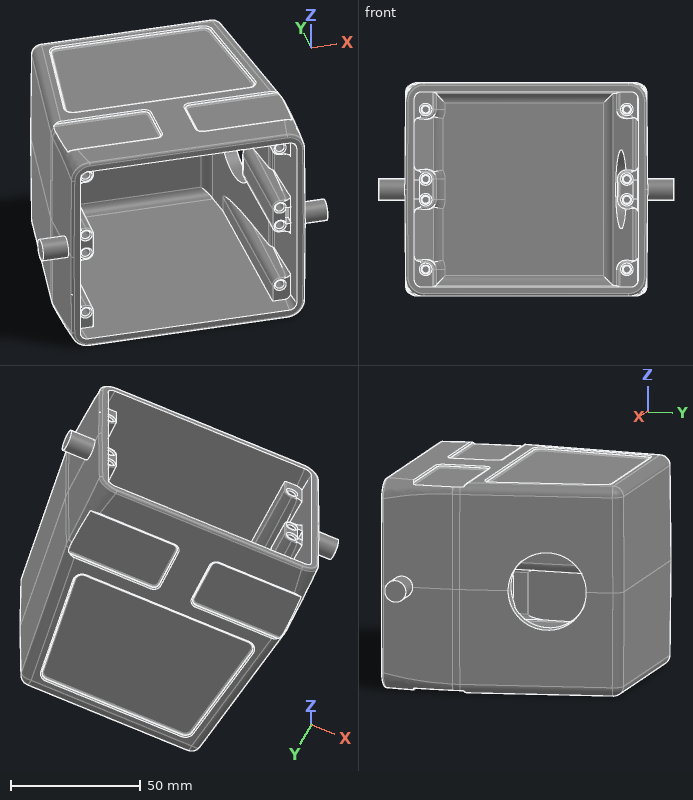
import cadquery as cq
import math

depth = 94.0
half_height = 41.3
mouth_half_width = 47.0
pin_span = 114.0
side_angle = math.radians(8)
side_slope = math.tan(side_angle)
draft_angle = 0.5
draft_slope = math.tan(math.radians(draft_angle))
bend_y = 30.1
bend_radius = 20.5
edge_radius = 4.0
flare_end_y = 28.5
mouth_corner_radius = 7.3
rim_radius = 1.0

selection_margin = 0.1
mouth_length = 11.4
cavity_half_width = 43.3
cavity_half_height = 37.7
floor_half_height = 37.0
floor_y = 90.4
floor_radius = 3.8
cavity_corner_radius = 3.0
left_bend_y = 34.4
step_front_x = 42.4
step_front_y = 30.3
step_back_x = 41.2
step_back_y = 32.6
step_radius = 3.0

rib_front_y = 8.1
rib_draft = 0.8
rib_edge_diameter = 6.0
rib_radius = rib_edge_diameter / 2
rib_root_radius = 2.3
rib_root_overlap = 0.2
rib_root_length = 44.5
rib_rim_radius = 0.5
foot_radius = 3.4
rib_buried_x = 49.0
rib_buried_z = 44.5
screw_x = 38.9
corner_screw_z = 30.9
middle_screw_z = 4.0
screw_mouth_diameter = 4.8
screw_top_diameter = 3.5
screw_bottom_diameter = 2.7
screw_depth = 11.4
notch_x = 41.2
notch_half_height = 3.6
notch_depth = 4.6

pin_diameter = 8.4
pin_y = 8.5
pin_end_margin = 1.1
cable_hole_diameter = 30.4
cable_hole_y = 64.5
cable_hole_inset = 3.4
cable_hole_length = 17.1
recess_depth = 1.3
recess_chamfer = 0.6
recess_floor_radius = 0.5
recess_mouth_angle = 45
recess_draft = 10
panel_front_y = 38.5
panel_back_y = 87.7
panel_front_half_width = 39.0
panel_corner_radius = 3.6
pad_front_y = 11.7
pad_back_y = 33.5
pad_inner_x = 6.6
pad_outer_x = 51.3
pad_corner_radius = 3.0


def y_plane(y):
    """Plane facing +Y at the given depth; its local axes are -X and Z."""
    return cq.Workplane(cq.Plane(origin=(0, y, 0), xDir=(-1, 0, 0), normal=(0, 1, 0)))


def both_halves(upper):
    return upper.union(upper.mirror("XY"))


def rear_shell():
    """Upper half of the tapering rear part, drafted from the parting plane."""
    back_half_width = mouth_half_width - (depth - bend_y) * side_slope
    outline = [
        (-mouth_half_width, 0),
        (mouth_half_width, 0),
        (mouth_half_width, bend_y),
        (back_half_width, depth),
        (-back_half_width, depth),
        (-mouth_half_width, bend_y),
    ]
    half = cq.Workplane("XY").polyline(outline).close().extrude(half_height, taper=draft_angle)
    for side in (-1, 1):
        bend = cq.selectors.NearestToPointSelector((side * mouth_half_width, bend_y, half_height / 2))
        half = half.edges(bend).fillet(bend_radius)
    keep = cq.Workplane("XY").box(pin_span, depth, half_height, centered=(True, False, False))
    half = half.intersect(keep.translate((0, flare_end_y, 0)))
    for side in (-1, 1):
        corner = cq.selectors.NearestToPointSelector((side * back_half_width, depth, half_height / 2))
        half = half.edges(corner).fillet(edge_radius)
    return half.faces(">Z").edges("not <Y").fillet(edge_radius)


def mouth_section(y):
    """Upper half section whose corner radius grows quadratically towards the mouth."""
    progress = 1 - y / flare_end_y
    radius = edge_radius + (mouth_corner_radius - edge_radius) * progress**2
    top_half_width = mouth_half_width - half_height * draft_slope
    corners = [
        (-mouth_half_width, 0),
        (mouth_half_width, 0),
        (top_half_width, half_height),
        (-top_half_width, half_height),
        (-mouth_half_width, 0),
    ]
    section = cq.Sketch().polygon(corners).vertices(">Y").fillet(radius)
    return section.moved(cq.Location(cq.Vector(0, 0, y)))


def mouth_shell():
    sections = [mouth_section(y) for y in (0, flare_end_y / 2, flare_end_y)]
    half = y_plane(0).placeSketch(*sections).loft()
    return half.faces("<Y").edges("not <Z").fillet(rim_radius)


def right_wall_x(y):
    """Inner face of the thick +X wall behind its step."""
    return step_back_x - (y - step_back_y) * side_slope


def rib_root(low_z, high_z):
    """Flare joining a rib to the +X wall; the slanted wall swallows its far end."""
    inner_x = cavity_half_width - rib_root_radius - rib_root_overlap
    flange_low_z = low_z - 2 * rib_root_radius
    flange_high_z = high_z + 2 * rib_root_radius
    outline = [
        (-inner_x, low_z),
        (-inner_x, high_z),
        (-cavity_half_width, high_z),
        (-cavity_half_width, flange_high_z),
        (-rib_buried_x, flange_high_z),
        (-rib_buried_x, flange_low_z),
        (-cavity_half_width, flange_low_z),
        (-cavity_half_width, low_z),
        (-inner_x, low_z),
    ]
    corners = cq.selectors.BoxSelector(
        (-cavity_half_width - selection_margin, low_z - selection_margin, -selection_margin),
        (-cavity_half_width + selection_margin, high_z + selection_margin, selection_margin),
    )
    profile = cq.Sketch().polygon(outline).vertices(corners).fillet(rib_root_radius).reset()
    return y_plane(rib_front_y).placeSketch(profile).extrude(rib_root_length)


def rib(low_z, high_z):
    """Rib on the +X wall, slightly wider towards its flared foot on the cavity floor."""
    inner_x = screw_x - rib_radius
    profile = cq.Sketch().rect(rib_buried_x - inner_x, high_z - low_z).vertices().fillet(rib_radius)
    center = (-(inner_x + rib_buried_x) / 2, (low_z + high_z) / 2)
    rib_length = floor_y - rib_front_y
    body = y_plane(rib_front_y).center(*center).placeSketch(profile).extrude(rib_length, taper=-rib_draft)
    body = body.faces("<Y").edges().fillet(rib_rim_radius)

    floor_slab = cq.Workplane("XY").box(2 * pin_span, foot_radius, 4 * rib_buried_z)
    body = body.union(floor_slab.translate((0, floor_y + foot_radius / 2, 0)))
    growth = rib_length * math.tan(math.radians(rib_draft))
    foot_edges = cq.selectors.BoxSelector(
        (inner_x - 2 * growth, floor_y - selection_margin, low_z - 2 * growth),
        (rib_buried_x + 2 * growth, floor_y + selection_margin, high_z + 2 * growth),
    )
    return body.edges(foot_edges).fillet(foot_radius)


def slanted_space():
    """Cavity narrowing along the slanted side walls, with sharp lengthwise corners."""
    left_floor_x = -cavity_half_width + (floor_y - left_bend_y) * side_slope
    outline = [
        (-cavity_half_width, 0),
        (cavity_half_width, 0),
        (step_front_x, step_front_y),
        (step_back_x, step_back_y),
        (right_wall_x(floor_y), floor_y),
        (left_floor_x, floor_y),
        (-cavity_half_width, left_bend_y),
    ]
    space = cq.Workplane("XY").polyline(outline).close().extrude(cavity_half_height, both=True)
    bends = cq.selectors.BoxSelector(
        (-rib_buried_x, mouth_length, -rib_buried_z),
        (rib_buried_x, floor_y - selection_margin, rib_buried_z),
    )
    space = space.edges("|Z").edges(bends).fillet(step_radius)

    heights = [
        (0, cavity_half_height),
        (floor_y, floor_half_height),
        (floor_y, -floor_half_height),
        (0, -cavity_half_height),
    ]
    wedge = cq.Workplane("YZ").polyline(heights).close().extrude(rib_buried_x, both=True)
    return space.intersect(wedge).faces(">Y").edges().fillet(floor_radius)


def mouth_limit():
    """Bounds rounding the cavity corners at the mouth, ahead of where the corner ribs fill them."""
    rounded = (
        cq.Workplane("XY")
        .box(2 * cavity_half_width, mouth_length, 2 * cavity_half_height)
        .edges("|Y")
        .fillet(cavity_corner_radius)
        .translate((0, mouth_length / 2, 0))
    )
    behind = cq.Workplane("XY").box(2 * rib_buried_x, depth, 2 * rib_buried_z)
    return rounded.union(behind.translate((0, mouth_length + depth / 2, 0)))


def cavity():
    """Hollow space inside the hood, with the ribs standing in it."""
    space = slanted_space().intersect(mouth_limit())
    middle_end_z = middle_screw_z + rib_radius
    corner_end_z = corner_screw_z - rib_radius
    rib_ends = [
        (-rib_buried_z, -corner_end_z),
        (-middle_end_z, middle_end_z),
        (corner_end_z, rib_buried_z),
    ]
    for low_z, high_z in rib_ends:
        for right_piece in (rib_root(low_z, high_z), rib(low_z, high_z)):
            space = space.cut(right_piece).cut(right_piece.mirror("YZ"))
    return space


def rib_notch(side):
    """Shallow pocket between a middle rib's face and the side wall."""
    width = cavity_half_width - notch_x
    center_x = side * (cavity_half_width + notch_x) / 2
    pocket = cq.Workplane("XY").box(width, notch_depth, 2 * notch_half_height)
    return pocket.translate((center_x, rib_front_y + notch_depth / 2, 0))


def screw_hole(x, z):
    """Blind tapered pilot hole with a countersunk mouth."""
    chamfer = (screw_mouth_diameter - screw_top_diameter) / 2
    half_profile = [
        (0, 0),
        (screw_mouth_diameter / 2, 0),
        (screw_top_diameter / 2, chamfer),
        (screw_bottom_diameter / 2, screw_depth),
        (0, screw_depth),
    ]
    return (
        cq.Workplane("XY")
        .polyline(half_profile)
        .close()
        .revolve(360, (0, 0, 0), (0, 1, 0))
        .translate((x, rib_front_y, z))
    )


def recess(outline):
    """Shallow pocket in the top face with a chamfered mouth and a rounded floor."""
    top = cq.Workplane("XY", origin=(0, 0, half_height))
    mouth = top.placeSketch(outline).extrude(-recess_chamfer, taper=recess_mouth_angle)
    inner_outline = outline.copy().wires().offset(-recess_chamfer, mode="i")
    floor_part = (
        top.placeSketch(inner_outline)
        .extrude(-recess_depth, taper=recess_draft)
        .faces("<Z")
        .edges()
        .fillet(recess_floor_radius)
    )
    return mouth.union(floor_part)


def side_pins():
    """Locking pins on both side walls, kept clear of the cavity."""
    length = (pin_span - 2 * cavity_half_width) / 2 - pin_end_margin
    pins = cq.Workplane("XY")
    for side in (-1, 1):
        plane = cq.Workplane("YZ", origin=(side * pin_span / 2, pin_y, 0))
        pins = pins.add(plane.circle(pin_diameter / 2).extrude(-side * length))
    return pins.combine()


def cable_hole():
    """Cable entry bored square to the slanted +X wall, inner side first."""
    normal = cq.Vector(math.cos(side_angle), math.sin(side_angle), 0)
    start = cq.Vector(right_wall_x(cable_hole_y), cable_hole_y, 0) - normal * cable_hole_inset
    plane = cq.Plane(origin=start, xDir=(0, 0, 1), normal=normal)
    return cq.Workplane(plane).circle(cable_hole_diameter / 2).extrude(cable_hole_length)


def label_panel():
    back_half_width = panel_front_half_width - (panel_back_y - panel_front_y) * side_slope
    outline = [
        (-panel_front_half_width, panel_front_y),
        (panel_front_half_width, panel_front_y),
        (back_half_width, panel_back_y),
        (-back_half_width, panel_back_y),
        (-panel_front_half_width, panel_front_y),
    ]
    return recess(cq.Sketch().polygon(outline).vertices().fillet(panel_corner_radius))


def side_pad(side):
    """Recess that runs out through the rounded side edge."""
    profile = cq.Sketch().rect(pad_outer_x - pad_inner_x, pad_back_y - pad_front_y)
    profile = profile.vertices().fillet(pad_corner_radius)
    center = cq.Vector(side * (pad_outer_x + pad_inner_x) / 2, (pad_front_y + pad_back_y) / 2, 0)
    return recess(profile.moved(cq.Location(center)))


upper_half = rear_shell().union(mouth_shell()).cut(label_panel())
for side in (-1, 1):
    upper_half = upper_half.cut(side_pad(side))

result = both_halves(upper_half).union(side_pins()).cut(cavity()).cut(cable_hole())
for side in (-1, 1):
    result = result.cut(rib_notch(side))
    for z in (-corner_screw_z, -middle_screw_z, middle_screw_z, corner_screw_z):
        result = result.cut(screw_hole(side * screw_x, z))